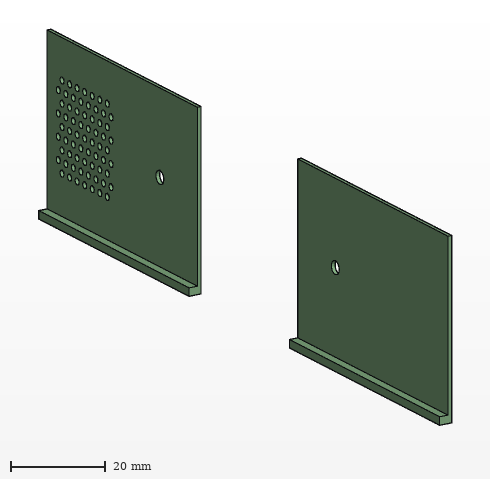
import cadquery as cq
import math

overall_length = 160.0
panel_width = 60.0
panel_height = 42.0
panel_thickness = 1.0
lip_depth = 3.0
lip_height = 2.0

mount_hole_diameter = 3.0
vent_hole_diameter = 1.5
vent_row_count = 9
long_row_holes = 8

outer_edge = overall_length / 2
panel_center_x = outer_edge - panel_width / 2
quarter_width = panel_width / 4
mount_hole_x = panel_center_x - quarter_width
hole_center_z = (lip_height + panel_height) / 2
vent_center_x = -outer_edge + quarter_width
vent_pitch = 2 * vent_hole_diameter
vent_row_pitch = vent_pitch * math.sqrt(3) / 2


def drill(body, points, diameter):
    """Cut round holes through the wall along Y at the given (x, z) points."""
    cutters = (
        cq.Workplane("XZ", origin=(0, lip_depth, 0))
        .pushPoints(points)
        .circle(diameter / 2)
        .extrude(2 * lip_depth)
    )
    return body.cut(cutters)


def make_panel(side):
    """L-section panel with one mounting hole; side is -1 for left, +1 for right.

    The back face lies at Y = lip_depth and the lip reaches forward to Y = 0.
    """
    wall_front = lip_depth - panel_thickness
    profile = [
        (0, 0),
        (lip_depth, 0),
        (lip_depth, panel_height),
        (wall_front, panel_height),
        (wall_front, lip_height),
        (0, lip_height),
    ]
    start_x = side * panel_center_x - panel_width / 2
    panel = cq.Workplane("YZ", origin=(start_x, 0, 0)).polyline(profile).close().extrude(panel_width)
    return drill(panel, [(side * mount_hole_x, hole_center_z)], mount_hole_diameter)


def vent_points():
    """Staggered grid: even rows are one hole shorter than odd rows."""
    points = []
    for row in range(vent_row_count):
        count = long_row_holes - 1 if row % 2 == 0 else long_row_holes
        z = hole_center_z + (row - (vent_row_count - 1) / 2) * vent_row_pitch
        for column in range(count):
            x = vent_center_x + (column - (count - 1) / 2) * vent_pitch
            points.append((x, z))
    return points


vented_panel = drill(make_panel(-1), vent_points(), vent_hole_diameter)
plain_panel = make_panel(1)

result = cq.Compound.makeCompound([vented_panel.val(), plain_panel.val()])